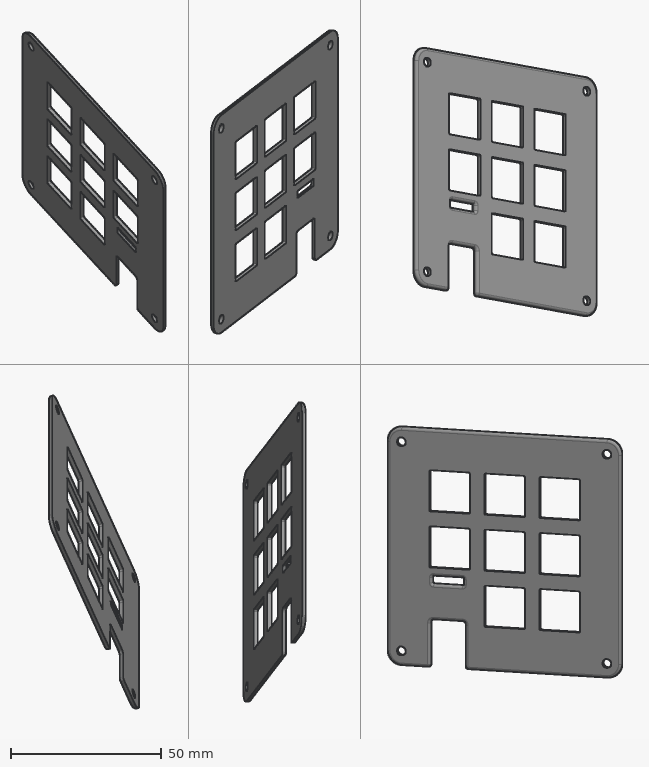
import cadquery as cq

PLATE_SIZE = 81.1
THICKNESS = 1.5
CORNER_RADIUS = 5.0
BACK_EDGE_FILLET = 1.0

HOLE_DIAMETER = 3.0
HOLE_SPACING = PLATE_SIZE - 2 * CORNER_RADIUS

KEY_PITCH = 19.05
KEY_SIZE = 14.0
KEY_CORNER_RADIUS = 0.5
KEY_GRID_X = -0.2
KEY_GRID_Z = 0.43
EMPTY_POSITION = (1, -1)

SIDE_FEATURE_X = 19.5
SLOT_WIDTH = 10.7
SLOT_HEIGHT = 2.6
SLOT_Z = -10.8
SLOT_CORNER_RADIUS = 0.4
NOTCH_WIDTH = 12.0
NOTCH_DEPTH = 16.2
NOTCH_FILLET = 1.0


def make_block(width, height, center_x, center_z):
    """Block through the plate thickness, centred at (center_x, center_z)."""
    return cq.Workplane("XY").box(width, THICKNESS, height).translate((center_x, 0, center_z))


def make_plate():
    """Square plate with rounded corners and the rounded notch in its bottom edge."""
    plate = make_block(PLATE_SIZE, PLATE_SIZE, 0, 0).edges("|Y").fillet(CORNER_RADIUS)
    notch_z = (NOTCH_DEPTH - PLATE_SIZE) / 2
    plate = plate.cut(make_block(NOTCH_WIDTH, NOTCH_DEPTH, SIDE_FEATURE_X, notch_z))
    half_width = NOTCH_WIDTH / 2
    notch_edges = cq.selectors.BoxSelector(
        (SIDE_FEATURE_X - half_width - NOTCH_FILLET, -THICKNESS, -PLATE_SIZE),
        (SIDE_FEATURE_X + half_width + NOTCH_FILLET, THICKNESS, 0),
    )
    return plate.edges("|Y").edges(notch_edges).fillet(NOTCH_FILLET)


def round_back_edges(plate):
    """Round every back edge present so far: the outline, the notch and the slot."""
    return plate.faces(">Y").edges().fillet(BACK_EDGE_FILLET)


def cut_key_windows(plate):
    """Cut the grid of rounded square windows."""
    for column in (-1, 0, 1):
        for row in (-1, 0, 1):
            if (column, row) == EMPTY_POSITION:
                continue
            center_x = KEY_GRID_X + column * KEY_PITCH
            center_z = KEY_GRID_Z + row * KEY_PITCH
            window = make_block(KEY_SIZE, KEY_SIZE, center_x, center_z)
            plate = plate.cut(window.edges("|Y").fillet(KEY_CORNER_RADIUS))
    return plate


def cut_slot(plate):
    """Cut the narrow rounded slot above the notch."""
    slot = make_block(SLOT_WIDTH, SLOT_HEIGHT, SIDE_FEATURE_X, SLOT_Z)
    return plate.cut(slot.edges("|Y").fillet(SLOT_CORNER_RADIUS))


def cut_mounting_holes(plate):
    """Cut the four corner holes."""
    holes = (
        cq.Workplane("XZ", origin=(0, THICKNESS / 2, 0))
        .rect(HOLE_SPACING, HOLE_SPACING, forConstruction=True)
        .vertices()
        .circle(HOLE_DIAMETER / 2)
        .extrude(THICKNESS)
    )
    return plate.cut(holes)


plate = make_plate()
plate = cut_slot(plate)
plate = round_back_edges(plate)
plate = cut_key_windows(plate)
result = cut_mounting_holes(plate)